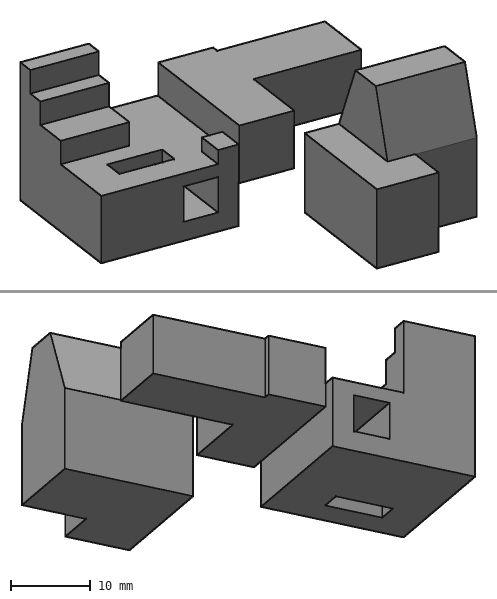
import cadquery as cq

block_side = 20.0
block_height = 9.52
step_edges = [2.5, 5.0, 10.0]
step_rise = 3.32
step_depth = block_side / 2
peg_length, peg_depth, peg_height = 4.0, 3.0, 2.0
slot_x, slot_y = 13.0, 5.0
slot_length, slot_depth = 3.0, 8.0
window_side = 5.0
window_y, window_z = 12.0, 2.7

foot_x, foot_y = -10.0, 26.0
foot_length, foot_depth = 20.0, 8.0
leg_inset = 1.0
leg_width = 9.0
leg_length = 15.69
l_block_height = 8.15

base_x, base_y = 21.0, 29.0
base_length = 17.82
base_front_depth = 9.0
base_depth = 18.0
base_height = 11.2
ridge_width = 12.0
ridge_depth = 13.0
ridge_height = 9.37
ridge_top_start, ridge_top_end = 4.1, 9.1


def corner_box(x, y, z, length, depth, height):
    """Box with its lowest X, Y and Z corner at the given point."""
    return cq.Workplane("XY").box(length, depth, height, centered=False).translate((x, y, z))


def make_stepped_block():
    block = corner_box(0, 0, 0, block_side, block_side, block_height)

    for index, edge in enumerate(step_edges):
        rise = step_rise * (len(step_edges) - index)
        block = block.union(corner_box(0, 0, 0, edge, step_depth, block_height + rise))

    block = block.union(
        corner_box(
            block_side - peg_length, block_side - peg_depth, 0,
            peg_length, peg_depth, block_height + peg_height,
        )
    )

    slot = corner_box(slot_x, slot_y, 0, slot_length, slot_depth, block_height)
    window = corner_box(0, window_y, window_z, block_side, window_side, window_side)
    return block.cut(slot).cut(window)


def make_l_block():
    foot = corner_box(foot_x, foot_y, 0, foot_length, foot_depth, l_block_height)
    leg = corner_box(
        foot_x + leg_inset, foot_y, 0,
        leg_width, foot_depth + leg_length, l_block_height,
    )
    return foot.union(leg)


def make_wedge_block():
    front = corner_box(base_x, base_y, 0, base_length, base_front_depth, base_height)
    leg = corner_box(base_x, base_y, 0, ridge_width, base_depth, base_height)

    ridge = (
        cq.Workplane("XZ", origin=(base_x, base_y + base_depth, base_height))
        .polyline([
            (0, 0),
            (ridge_width, 0),
            (ridge_top_end, ridge_height),
            (ridge_top_start, ridge_height),
        ])
        .close()
        .extrude(ridge_depth)
    )
    return front.union(leg).union(ridge)


stepped_block = make_stepped_block()
l_block = make_l_block()
wedge_block = make_wedge_block()

result = cq.Compound.makeCompound([
    stepped_block.solids().val(),
    l_block.solids().val(),
    wedge_block.solids().val(),
])